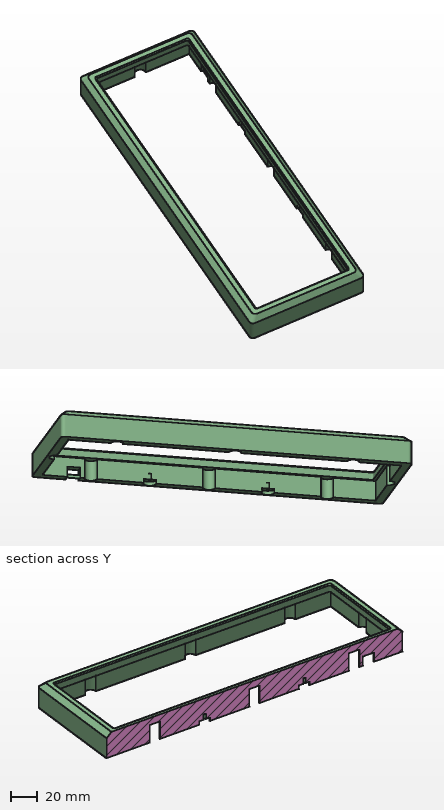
import cadquery as cq

length = 267.25
width = 95.8
height = 21.7
outer_corner_radius = 3.0
outer_chamfer = 4.2

rim = 9.3
window_length = length - 2 * rim
window_width = width - 2 * rim
window_corner_radius = 1.5
window_bevel = 1.0

wall = 6.8
lip_underside = 15.2
cavity_length = length - 2 * wall
cavity_width = width - 2 * wall
cavity_back = cavity_width / 2
cavity_right = cavity_length / 2

groove_radius = 4.7
groove_pitch = 90.0
long_wall_grooves = [-groove_pitch, 0, groove_pitch]

pilot_radius = 1.0
pilot_top = 7.6
head_radius = 4.8
head_height = 3.0
screw_inset = 1.1
screw_positions = [-groove_pitch / 2, groove_pitch / 2]

opening_length = 10.0
opening_height = 8.0
opening_center = -103.0
bar_height = 2.5
bar_thickness = 1.0
bar_setback = 1.5


def rounded_rectangle(size_x, size_y, radius):
    """Closed outline with rounded corners, centred on the origin."""
    return cq.Sketch().rect(size_x, size_y).vertices().fillet(radius)


def prism(size_x, size_y, radius, bottom, top):
    """Upright block with rounded vertical corners."""
    outline = rounded_rectangle(size_x, size_y, radius)
    return cq.Workplane("XY", origin=(0, 0, bottom)).placeSketch(outline).extrude(top - bottom)


def sloped_prism(size_x, size_y, radius, growth, bottom, top):
    """Block whose four sides lean outward (inward if growth is negative), corner radius kept."""
    lower = rounded_rectangle(size_x, size_y, radius)
    upper = rounded_rectangle(size_x + 2 * growth, size_y + 2 * growth, radius)
    upper = upper.moved(cq.Location(cq.Vector(0, 0, top - bottom)))
    return cq.Workplane("XY", origin=(0, 0, bottom)).placeSketch(lower, upper).loft()


def frame():
    """Ring with a sloped top shoulder and an inward lip around the window."""
    shoulder = height - outer_chamfer
    bevel_start = height - window_bevel
    body = prism(length, width, outer_corner_radius, 0, shoulder)
    body = body.union(
        sloped_prism(length, width, outer_corner_radius, -outer_chamfer, shoulder, height)
    )
    window = prism(window_length, window_width, window_corner_radius, 0, height)
    bevel = sloped_prism(
        window_length, window_width, window_corner_radius, window_bevel, bevel_start, height
    )
    cavity = cq.Workplane("XY").rect(cavity_length, cavity_width).extrude(lip_underside)
    return body.cut(window).cut(bevel).cut(cavity)


def grooves():
    """Half-round grooves in all four cavity walls."""
    long_walls = [(x, side * cavity_back) for x in long_wall_grooves for side in (-1, 1)]
    short_walls = [(side * cavity_right, 0) for side in (-1, 1)]
    return (
        cq.Workplane("XY")
        .pushPoints(long_walls + short_walls)
        .circle(groove_radius)
        .extrude(lip_underside)
    )


def screw_holes():
    """Pilot holes with head recesses that break out into the cavity."""
    centers = [(x, cavity_back + screw_inset) for x in screw_positions]
    points = cq.Workplane("XY").pushPoints(centers)
    heads = points.circle(head_radius).extrude(head_height)
    return heads.union(points.circle(pilot_radius).extrude(pilot_top))


def opening_block(setback, depth, top):
    """Block as long as the opening, set back from the cavity face of the back wall."""
    return (
        cq.Workplane("XY")
        .center(opening_center, cavity_back + setback + depth / 2)
        .rect(opening_length, depth)
        .extrude(top)
    )


result = frame().cut(grooves()).cut(screw_holes())
result = result.cut(opening_block(0, wall, opening_height))
result = result.union(opening_block(bar_setback, bar_thickness, bar_height))